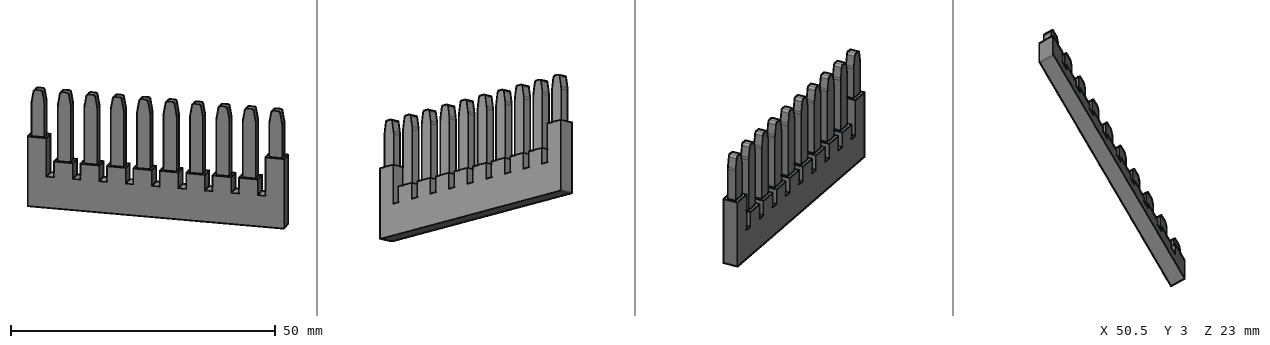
import cadquery as cq

pin_count = 10
pitch = 5.2
block_width = 3.7
body_thickness = 3.0
body_length = (pin_count - 1) * pitch + block_width
slot_floor_height = 6.2
inner_block_height = 9.3
end_block_height = 13.8
bottom_corner_radius = 0.2

pin_width = 2.6
pin_thickness = 1.7
pin_top_height = 23.0
tip_width = 1.65
taper_length = 2.67
tip_radius = 0.5
shoulder_radius = 3.0


def block_height(index):
    """The first and last blocks are taller than the ones between them."""
    is_end = index in (0, pin_count - 1)
    return end_block_height if is_end else inner_block_height


def make_bar():
    """Continuous lower bar with rounded lower end corners."""
    bar = cq.Workplane("XY").box(
        body_length, body_thickness, slot_floor_height, centered=(True, True, False)
    )
    return bar.edges("|Y and <Z").fillet(bottom_corner_radius)


def make_block(center_x, height):
    """Rectangular block rising from the bar to the given height."""
    rise = height - slot_floor_height
    return cq.Workplane("XY", origin=(center_x, 0, slot_floor_height)).box(
        block_width, body_thickness, rise, centered=(True, True, False)
    )


def make_pin(center_x, base_height):
    """Blade standing on a block, its sides tapering to a rounded tip."""
    shoulder_height = pin_top_height - taper_length
    pin = (
        cq.Workplane("XZ", origin=(center_x, 0, 0))
        .moveTo(-pin_width / 2, base_height)
        .lineTo(pin_width / 2, base_height)
        .lineTo(pin_width / 2, shoulder_height)
        .lineTo(tip_width / 2, pin_top_height)
        .lineTo(-tip_width / 2, pin_top_height)
        .lineTo(-pin_width / 2, shoulder_height)
        .close()
        .extrude(pin_thickness / 2, both=True)
    )
    pin = pin.edges("|Y and (not >Z) and (not <Z)").fillet(shoulder_radius)
    return pin.edges("|Y and >Z").fillet(tip_radius)


result = make_bar()
for index in range(pin_count):
    block_x = (index - (pin_count - 1) / 2) * pitch
    height = block_height(index)
    result = result.union(make_block(block_x, height))
    result = result.union(make_pin(block_x, height))
result = result.clean()